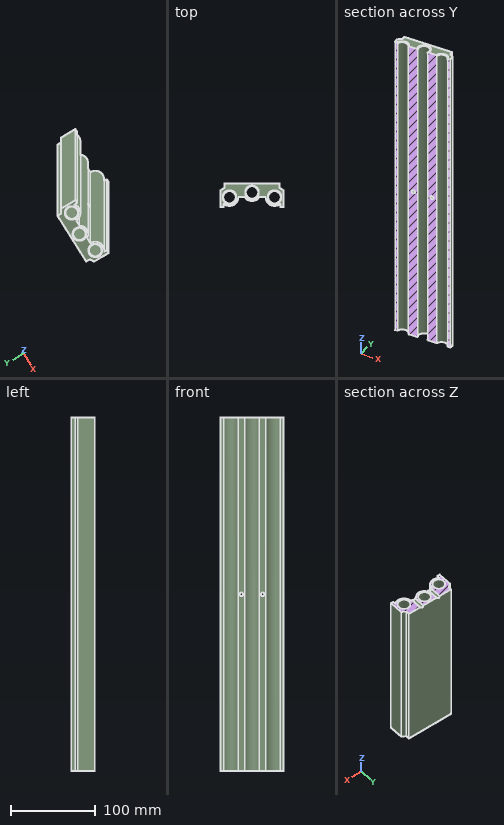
import cadquery as cq

WIDTH = 75.0
DEPTH = 28.0
LENGTH = 418.0

WEB_THICKNESS = 16.0
WEB_TOP_WIDTH = 65.0
SHOULDER_DROP = 5.0
SHOULDER_SLOPE_DROP = 3.0

LEG_THICKNESS = 4.0

TUBE_BORE_DIAMETER = 14.5
SIDE_TUBE_DIAMETER = 21.0
MIDDLE_TUBE_DIAMETER = 20.5
BORE_CHAMFER = 1.0
SIDE_TUBE_SPACING = 53.2
SIDE_TUBE_DROP = 16.2
MIDDLE_TUBE_DROP = 10.6

CROSS_HOLE_DIAMETER = 4.0
CROSS_HOLE_SPACING = 25.0

TOP_Y = DEPTH / 2
BOTTOM_Y = -DEPTH / 2
BOTTOM_Z = -LENGTH / 2
HALF_WIDTH = WIDTH / 2
LEG_INNER_X = HALF_WIDTH - LEG_THICKNESS
WEB_BOTTOM_Y = TOP_Y - WEB_THICKNESS
SHOULDER_Y = TOP_Y - SHOULDER_DROP
SIDE_TUBE_CENTERS = [
    (-SIDE_TUBE_SPACING / 2, TOP_Y - SIDE_TUBE_DROP),
    (SIDE_TUBE_SPACING / 2, TOP_Y - SIDE_TUBE_DROP),
]
MIDDLE_TUBE_CENTERS = [(0, TOP_Y - MIDDLE_TUBE_DROP)]


def make_channel():
    """Web and both legs as one extrusion, mirrored about the YZ plane."""
    half_outline = [
        (0, TOP_Y),
        (WEB_TOP_WIDTH / 2, TOP_Y),
        (WEB_TOP_WIDTH / 2, SHOULDER_Y),
        (HALF_WIDTH, SHOULDER_Y - SHOULDER_SLOPE_DROP),
        (HALF_WIDTH, BOTTOM_Y),
        (LEG_INNER_X, BOTTOM_Y),
        (LEG_INNER_X, WEB_BOTTOM_Y),
        (0, WEB_BOTTOM_Y),
    ]
    return (
        cq.Workplane("XY", origin=(0, 0, BOTTOM_Z))
        .polyline(half_outline)
        .mirrorY()
        .extrude(LENGTH)
    )


def make_rods(centers, diameter):
    """Full-length round rods standing on the given centers."""
    return (
        cq.Workplane("XY", origin=(0, 0, BOTTOM_Z))
        .pushPoints(centers)
        .circle(diameter / 2)
        .extrude(LENGTH)
    )


def make_bores():
    """Through bores of the tubes, flared by a chamfer at both ends."""
    bore_radius = TUBE_BORE_DIAMETER / 2
    mouth_radius = bore_radius + BORE_CHAMFER
    half_length = LENGTH / 2
    chamfer_start = half_length - BORE_CHAMFER
    half_section = [
        (0, -half_length),
        (mouth_radius, -half_length),
        (bore_radius, -chamfer_start),
        (bore_radius, chamfer_start),
        (mouth_radius, half_length),
        (0, half_length),
    ]
    bore = cq.Workplane("XZ").polyline(half_section).close().revolve(360, (0, 0), (0, 1)).val()
    return cq.Workplane("XY").pushPoints(SIDE_TUBE_CENTERS + MIDDLE_TUBE_CENTERS).eachpoint(bore)


def make_cross_holes():
    """Pins along Y that cut the cross holes through the web."""
    half_spacing = CROSS_HOLE_SPACING / 2
    return (
        cq.Workplane("XZ")
        .pushPoints([(-half_spacing, 0), (half_spacing, 0)])
        .circle(CROSS_HOLE_DIAMETER / 2)
        .extrude(DEPTH / 2, both=True)
    )


result = (
    make_channel()
    .union(make_rods(SIDE_TUBE_CENTERS, SIDE_TUBE_DIAMETER))
    .union(make_rods(MIDDLE_TUBE_CENTERS, MIDDLE_TUBE_DIAMETER))
    .cut(make_bores())
    .cut(make_cross_holes())
)